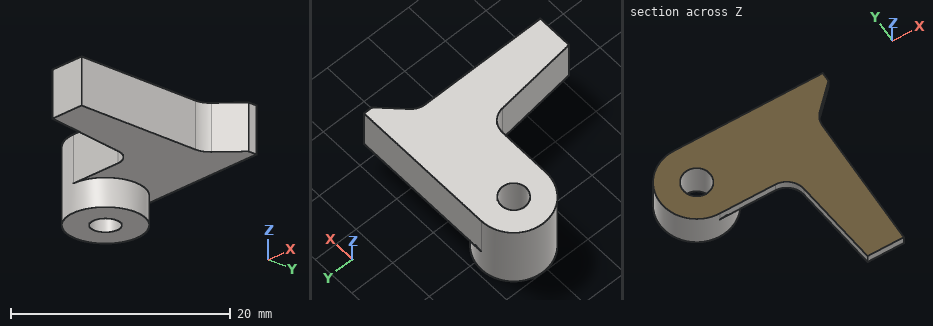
import cadquery as cq
import math

boss_radius = 4.0
hole_diameter = 3.0
total_height = 7.9
plate_thickness = 4.95
boss_drop = total_height - plate_thickness

arm_end_x = 16.0
tip_height = 1.0
leg_right_x = 13.0
leg_end_y = -15.0
leg_end_width = 3.92
leg_taper_angle = 7.0
corner_radius = 2.0

tip_bottom_y = boss_radius - tip_height
tip_slope_rise = arm_end_x - leg_right_x
right_corner = (leg_right_x, tip_bottom_y - tip_slope_rise)
leg_left_x = leg_right_x - leg_end_width
leg_taper_height = -boss_radius - leg_end_y
left_corner_x = leg_left_x - leg_taper_height * math.tan(math.radians(leg_taper_angle))
left_corner = (left_corner_x, -boss_radius)


def make_plate():
    """Bell-crank plate with a round pivot end and two filleted inside corners."""
    plate = (
        cq.Workplane("XY")
        .moveTo(0, boss_radius)
        .lineTo(arm_end_x, boss_radius)
        .lineTo(arm_end_x, tip_bottom_y)
        .lineTo(*right_corner)
        .lineTo(leg_right_x, leg_end_y)
        .lineTo(leg_left_x, leg_end_y)
        .lineTo(*left_corner)
        .lineTo(0, -boss_radius)
        .threePointArc((-boss_radius, 0), (0, boss_radius))
        .close()
        .extrude(plate_thickness)
    )
    for x, y in (right_corner, left_corner):
        corner_edge = cq.selectors.NearestToPointSelector((x, y, plate_thickness / 2))
        plate = plate.edges("|Z").edges(corner_edge).fillet(corner_radius)
    return plate


def make_boss():
    """Round boss running from below the plate up to its top face."""
    return cq.Workplane("XY").workplane(offset=-boss_drop).circle(boss_radius).extrude(total_height)


def make_pivot_hole():
    """Cutter for the hole through the full boss height."""
    return cq.Workplane("XY").workplane(offset=-boss_drop).circle(hole_diameter / 2).extrude(total_height)


result = make_plate().union(make_boss()).cut(make_pivot_hole())